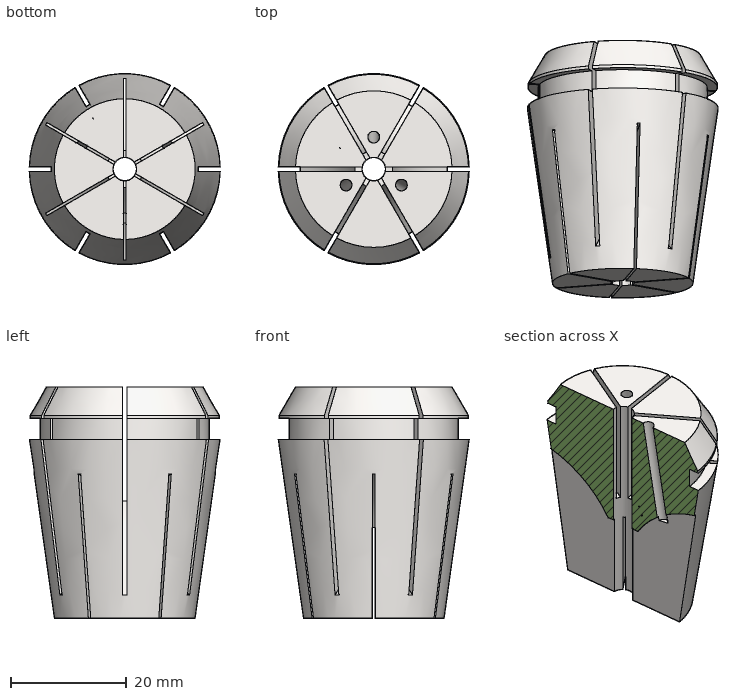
import cadquery as cq
import math

height = 40.0
taper_angle = 8.0
shoulder_height = 30.9
shoulder_diameter = 33.0
shoulder_radius = shoulder_diameter / 2
bottom_radius = shoulder_radius - shoulder_height * math.tan(math.radians(taper_angle))
groove_radius = 14.6
lip_base_height = 34.55
lip_radius = 16.35
top_radius = 13.5
nose_angle = 30.0
lip_top_height = height - (lip_radius - top_radius) / math.tan(math.radians(nose_angle))
bore_radius = 2.0

slot_count = 6
slot_pitch = 360.0 / slot_count
slot_inner_radius = 3.2
slot_floor_slope = 5.5
slot_reach = 20.0

top_slot_width = 0.75
top_slot_inner_height = 20.3
top_slot_outer_height = 4.0
top_slot_cutter_radius = 25.0

bottom_slot_width = 0.5
bottom_slot_inner_height = 15.7
bottom_slot_outer_height = 24.95
bottom_slot_cutter_radius = 20.0

hole_count = 3
hole_radius = 1.0
hole_circle_radius = 5.5
hole_lean = 9.0
hole_depth = 20.0
hole_overrun = 0.4
first_hole_angle = 90.0


def make_body():
    outline = [
        (bore_radius, 0),
        (bottom_radius, 0),
        (shoulder_radius, shoulder_height),
        (groove_radius, shoulder_height),
        (groove_radius, lip_base_height),
        (lip_radius, lip_base_height),
        (lip_radius, lip_top_height),
        (top_radius, height),
        (bore_radius, height),
    ]
    return cq.Workplane("XZ").polyline(outline).close().revolve(360, (0, 0, 0), (0, 1, 0))


def taper_radius(z):
    return bottom_radius + z * math.tan(math.radians(taper_angle))


def make_slot(width, inner_height, outer_height, cutter_radius, open_height):
    """Radial slot along +X, open at one end face.

    Its floor slopes gently near the bore, then follows the arc of a disc cutter out to the taper.
    """
    outward = 1 if open_height > inner_height else -1
    floor_drop = slot_inner_radius * math.tan(math.radians(slot_floor_slope))
    return (
        cq.Workplane("XZ")
        .moveTo(0, inner_height - outward * floor_drop)
        .lineTo(slot_inner_radius, inner_height)
        .radiusArc((taper_radius(outer_height), outer_height), -outward * cutter_radius)
        .lineTo(slot_reach, outer_height)
        .lineTo(slot_reach, open_height)
        .lineTo(0, open_height)
        .close()
        .extrude(width / 2, both=True)
    )


def make_leaning_hole():
    lean = math.radians(hole_lean)
    down_the_hole = cq.Vector(math.sin(lean), 0, -math.cos(lean))
    mouth = cq.Vector(hole_circle_radius, 0, height)
    hole = cq.Solid.makeCylinder(
        hole_radius,
        hole_depth + hole_overrun,
        mouth - down_the_hole * hole_overrun,
        down_the_hole,
    )
    return cq.Workplane(hole)


def cut_around(body, tool, count, first_angle):
    """Cut copies of the tool, evenly spaced around Z."""
    for i in range(count):
        body = body.cut(tool.rotate((0, 0, 0), (0, 0, 1), first_angle + i * 360.0 / count))
    return body


top_slot = make_slot(
    top_slot_width, top_slot_inner_height, top_slot_outer_height, top_slot_cutter_radius, height
)
bottom_slot = make_slot(
    bottom_slot_width, bottom_slot_inner_height, bottom_slot_outer_height, bottom_slot_cutter_radius, 0
)

result = make_body()
result = cut_around(result, top_slot, slot_count, 0)
result = cut_around(result, bottom_slot, slot_count, slot_pitch / 2)
result = cut_around(result, make_leaning_hole(), hole_count, first_hole_angle)